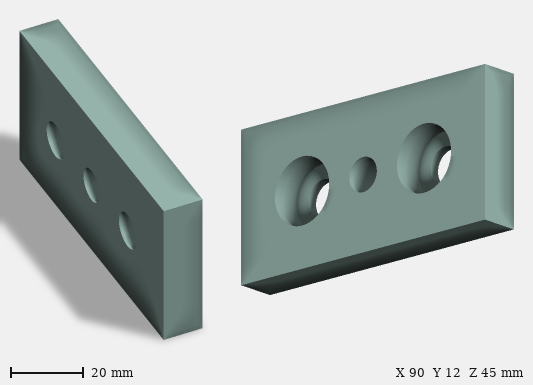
import cadquery as cq

length = 90.0
thickness = 12.0
height = length / 2
front_y = -thickness / 2
back_y = thickness / 2

center_hole_diameter = 10.2

hole_spacing = length / 4
side_hole_diameter = 11.0
counterbore_diameter = 20.0
front_land_depth = thickness / 4


def cylinder_along_y(x, diameter, start_y, end_y):
    """Cylinder on the plate's horizontal midline, running from start_y to end_y."""
    return (
        cq.Workplane("XZ", origin=(x, start_y, 0))
        .circle(diameter / 2)
        .extrude(start_y - end_y)
    )


def counterbored_hole(x):
    """Cutter for a through hole with a wider bore behind the front land."""
    hole = cylinder_along_y(x, side_hole_diameter, front_y, back_y)
    counterbore = cylinder_along_y(x, counterbore_diameter, front_y + front_land_depth, back_y)
    return hole.union(counterbore)


result = cq.Workplane("XY").box(length, thickness, height)
result = result.cut(cylinder_along_y(0, center_hole_diameter, front_y, back_y))
for side in (-1, 1):
    result = result.cut(counterbored_hole(side * hole_spacing))